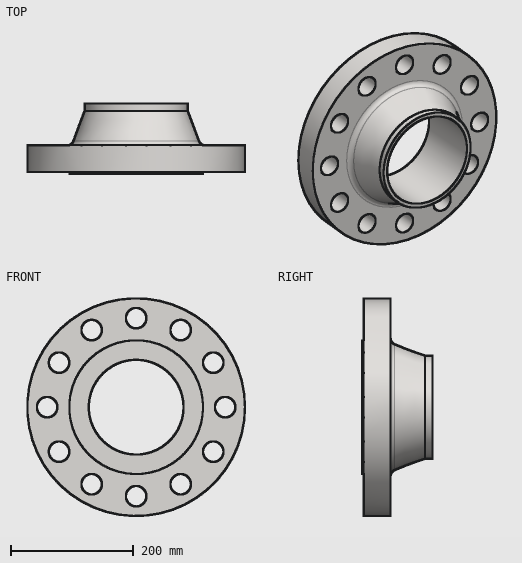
import cadquery as cq

flange_diameter = 355.0
total_length = 115.0
bore_diameter = 154.0

raised_face_diameter = 218.0
raised_face_height = 3.0
disc_thickness = 44.0

hub_base_diameter = 210.0
neck_diameter = 168.3
neck_length = 12.0
hub_fillet_radius = 10.0

bolt_hole_count = 12
bolt_hole_diameter = 33.0
bolt_circle_diameter = 290.0

disc_front = raised_face_height
disc_back = disc_front + disc_thickness
neck_start = total_length - neck_length


def cylinder_along_y(diameter, start, length):
    """Solid cylinder on the Y axis, from start towards +Y."""
    plane = cq.Workplane("XZ", origin=(0, start, 0))
    return plane.circle(diameter / 2).extrude(-length)


def make_body():
    """Revolve the raised face, disc, hub and neck, then round the hub root."""
    profile = [
        (0, 0),
        (raised_face_diameter / 2, 0),
        (raised_face_diameter / 2, disc_front),
        (flange_diameter / 2, disc_front),
        (flange_diameter / 2, disc_back),
        (hub_base_diameter / 2, disc_back),
        (neck_diameter / 2, neck_start),
        (neck_diameter / 2, total_length),
        (0, total_length),
    ]
    body = cq.Workplane("XY").polyline(profile).close().revolve(360, (0, 0), (0, 1))
    hub_root = cq.selectors.NearestToPointSelector((0, disc_back, 0))
    root_edges = body.faces("%CONE").edges(hub_root)
    return root_edges.fillet(hub_fillet_radius)


def make_bolt_holes():
    """Cutters for the ring of through holes, the first one on +X."""
    ring = cq.Workplane("XZ").polarArray(bolt_circle_diameter / 2, 0, 360, bolt_hole_count)
    return ring.circle(bolt_hole_diameter / 2).extrude(-disc_back)


bore = cylinder_along_y(bore_diameter, 0, total_length)
result = make_body().cut(bore).cut(make_bolt_holes())